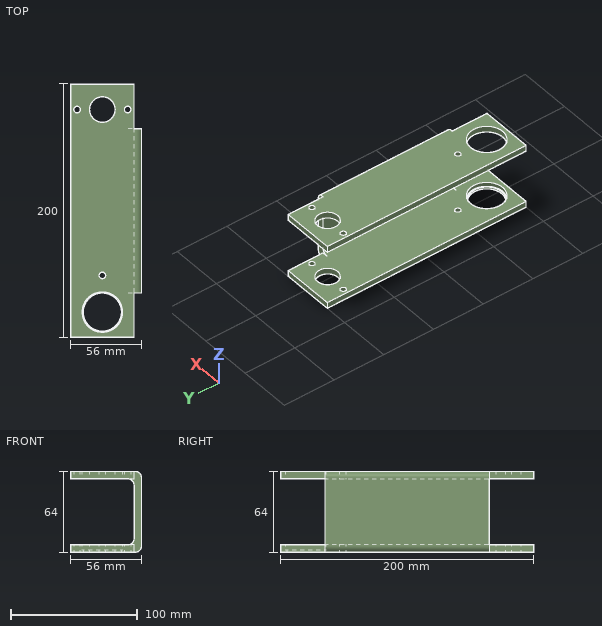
import cadquery as cq

length = 200.0
plate_width = 50.0
thickness = 6.0
height = 64.0

web_length = 130.0
outer_radius = 5.0
inner_radius = 5.0

end_distance = 20.0
small_bore_diameter = 20.0
large_bore_diameter = 32.0
lip_diameter = 30.0
lip_height = 2.0
screw_diameter = 5.0
screw_offset_x = 20.0
screw_offset_y = 29.0

plate_center_x = plate_width / 2
small_bore_y = length / 2 - end_distance
large_bore_y = -small_bore_y


def make_plate(bottom_z):
    """Flat plate with its underside at bottom_z."""
    return cq.Workplane("XY").box(
        plate_width, length, thickness, centered=(False, True, False)
    ).translate((0, 0, bottom_z))


def make_web():
    """Upright wall with rounded outer corners."""
    wall = cq.Workplane("XY").box(
        thickness, web_length, height, centered=(False, True, False)
    ).edges("|Y and >X").fillet(outer_radius)
    return wall.translate((plate_width, 0, 0))


def make_corner_fillet(plate_face_z, direction):
    """Concave fillet between a plate and the web; direction points away from the plate."""
    tangent_x = plate_width - inner_radius
    tangent_z = plate_face_z + direction * inner_radius
    corner = (
        cq.Workplane("XZ", origin=(0, web_length / 2, 0))
        .moveTo(tangent_x, plate_face_z)
        .lineTo(plate_width, plate_face_z)
        .lineTo(plate_width, tangent_z)
        .lineTo(tangent_x, tangent_z)
        .close()
        .extrude(web_length)
    )
    round_cutter = (
        cq.Workplane("XZ", origin=(0, web_length / 2, 0))
        .center(tangent_x, tangent_z)
        .circle(inner_radius)
        .extrude(web_length)
    )
    return corner.cut(round_cutter)


def make_hole(x, y, diameter, bottom_z=0.0):
    """Vertical hole cutter from bottom_z to the top of the part."""
    return (
        cq.Workplane("XY", origin=(x, y, bottom_z))
        .circle(diameter / 2)
        .extrude(height - bottom_z)
    )


result = make_plate(0).union(make_plate(height - thickness)).union(make_web())
result = result.union(make_corner_fillet(thickness, 1))
result = result.union(make_corner_fillet(height - thickness, -1)).clean()

result = result.cut(make_hole(plate_center_x, small_bore_y, small_bore_diameter))
result = result.cut(make_hole(plate_center_x, large_bore_y, lip_diameter))
result = result.cut(make_hole(plate_center_x, large_bore_y, large_bore_diameter, lip_height))

screw_places = [
    (plate_center_x - screw_offset_x, small_bore_y),
    (plate_center_x + screw_offset_x, small_bore_y),
    (plate_center_x, large_bore_y + screw_offset_y),
]
for screw_x, screw_y in screw_places:
    result = result.cut(make_hole(screw_x, screw_y, screw_diameter))